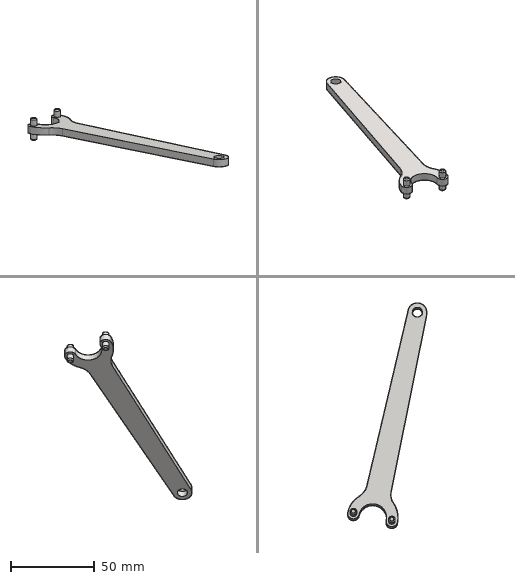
import cadquery as cq
import math

overall_length = 139.0
overall_width = 30.5
thickness = 4.6
tip_radius = 3.5
neck_fillet_radius = 11.1
handle_end_radius = 5.7
taper_angle = math.radians(0.9)
hang_hole_diameter = 6.0
pin_diameter = 4.0
pin_length = 13.8
pin_chamfer = 0.8

fork_outer_radius = overall_width / 2
fork_inner_radius = fork_outer_radius - 2 * tip_radius
pin_offset = fork_outer_radius - tip_radius
handle_end_x = overall_length - tip_radius - handle_end_radius


def along_and_across(along, across):
    """Point given by distances along the upper handle edge and square to it."""
    cos_taper = math.cos(taper_angle)
    sin_taper = math.sin(taper_angle)
    return (along * cos_taper + across * sin_taper, across * cos_taper - along * sin_taper)


def mirrored(point):
    return (point[0], -point[1])


def make_wrench():
    edge_across = handle_end_x * math.sin(taper_angle) + handle_end_radius
    edge_end = along_and_across(handle_end_x * math.cos(taper_angle), edge_across)

    centre_across = edge_across + neck_fillet_radius
    centre_distance = fork_outer_radius + neck_fillet_radius
    centre_along = math.sqrt(centre_distance**2 - centre_across**2)
    edge_start = along_and_across(centre_along, edge_across)
    fillet_centre = along_and_across(centre_along, centre_across)

    fork_angle = math.atan2(fillet_centre[1], fillet_centre[0])
    fork_end = (fork_outer_radius * math.cos(fork_angle), fork_outer_radius * math.sin(fork_angle))
    fork_mid_angle = (fork_angle + math.pi / 2) / 2
    fork_mid = (
        fork_outer_radius * math.cos(fork_mid_angle),
        fork_outer_radius * math.sin(fork_mid_angle),
    )
    fillet_mid_angle = (fork_angle - math.pi / 2 - taper_angle) / 2 - math.pi / 2
    fillet_mid = (
        fillet_centre[0] + neck_fillet_radius * math.cos(fillet_mid_angle),
        fillet_centre[1] + neck_fillet_radius * math.sin(fillet_mid_angle),
    )

    outline = (
        cq.Workplane("XY", origin=(0, 0, -thickness / 2))
        .moveTo(0, fork_outer_radius)
        .threePointArc(fork_mid, fork_end)
        .threePointArc(fillet_mid, edge_start)
        .lineTo(*edge_end)
        .threePointArc((handle_end_x + handle_end_radius, 0), mirrored(edge_end))
        .lineTo(*mirrored(edge_start))
        .threePointArc(mirrored(fillet_mid), mirrored(fork_end))
        .threePointArc(mirrored(fork_mid), (0, -fork_outer_radius))
        .threePointArc((-tip_radius, -pin_offset), (0, -fork_inner_radius))
        .threePointArc((fork_inner_radius, 0), (0, fork_inner_radius))
        .threePointArc((-tip_radius, pin_offset), (0, fork_outer_radius))
        .close()
    )
    plate = outline.extrude(thickness)

    hang_hole = (
        cq.Workplane("XY")
        .center(handle_end_x, 0)
        .circle(hang_hole_diameter / 2)
        .extrude(thickness, both=True)
    )
    pin_holes = (
        cq.Workplane("XY")
        .pushPoints([(0, -pin_offset), (0, pin_offset)])
        .circle(pin_diameter / 2)
        .extrude(thickness, both=True)
    )
    return plate.cut(hang_hole).cut(pin_holes)


def make_pin(y):
    """Straight pin, chamfered at both ends and standing out equally on both faces."""
    return (
        cq.Workplane("XY", origin=(0, y, -pin_length / 2))
        .circle(pin_diameter / 2)
        .extrude(pin_length)
        .faces("<Z or >Z")
        .chamfer(pin_chamfer)
    )


wrench = make_wrench()
pins = [make_pin(side * pin_offset) for side in (-1, 1)]

result = cq.Compound.makeCompound([wrench.val(), *[pin.val() for pin in pins]])